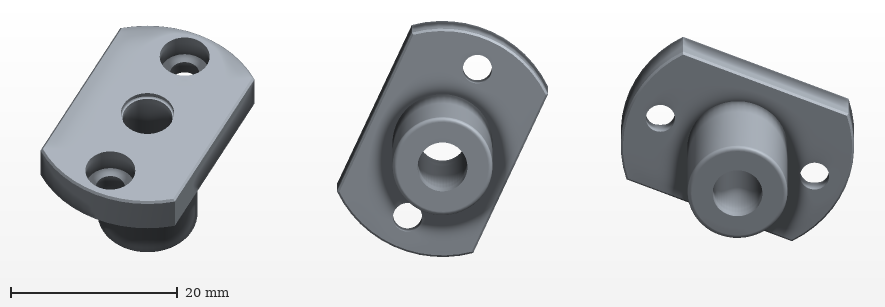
import cadquery as cq

flange_diameter = 28.0
flange_width = 18.0
flange_thickness = 5.0
flange_chamfer = 0.25

total_height = 19.0
barrel_diameter = 12.0
barrel_end_fillet = 0.5

bore_diameter = 6.0
lip_diameter = 6.4
lip_depth = 0.5
groove_diameter = 6.8
groove_floor_depth = 0.8

screw_spacing = 20.0
screw_hole_diameter = 3.5
counterbore_diameter = 6.0
counterbore_depth = 3.1


def make_flange():
    """Flange with its top face at Z = 0 and chamfered outer edges."""
    disc = cq.Workplane("XY").circle(flange_diameter / 2).extrude(-flange_thickness)
    flats = cq.Workplane("XY").rect(flange_width, flange_diameter).extrude(-flange_thickness)
    return disc.intersect(flats).faces("<Z or >Z").edges().chamfer(flange_chamfer)


def make_barrel():
    """Round barrel with a rounded lower end."""
    barrel = cq.Workplane("XY").circle(barrel_diameter / 2).extrude(-total_height)
    return barrel.faces("<Z").edges().fillet(barrel_end_fillet)


def make_bore():
    """Cutting body for the bore: through hole, lip opening and ring groove."""
    through_hole = cq.Workplane("XY").circle(bore_diameter / 2).extrude(-total_height)
    lip_opening = cq.Workplane("XY").circle(lip_diameter / 2).extrude(-groove_floor_depth)
    groove = (
        cq.Workplane("XY", origin=(0, 0, -groove_floor_depth))
        .circle(groove_diameter / 2)
        .extrude(groove_floor_depth - lip_depth)
    )
    return through_hole.union(lip_opening).union(groove)


body = make_flange().union(make_barrel()).cut(make_bore())

result = (
    body.faces(">Z")
    .workplane(origin=(0, 0, 0))
    .pushPoints([(0, -screw_spacing / 2), (0, screw_spacing / 2)])
    .cboreHole(screw_hole_diameter, counterbore_diameter, counterbore_depth)
)